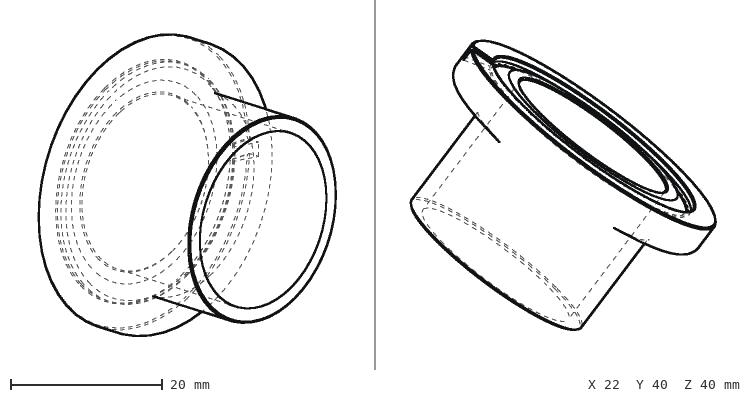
import cadquery as cq
import math

length = 22.0
flange_radius = 20.0
tube_radius = 14.0
bore_radius = 12.0
rim_width = 3.68
slope_angle = 15.0
rim_fillet = 1.5
neck_fillet = 1.0
edge_chamfer = 0.2

groove_mouth_radius = 16.4
groove_fillet = 0.4
groove_edge_break = 0.15
seat_radius = 13.8
seat_setback = 0.2
seat_angle = 25.0

slot_width = 2.0
slot_edge_break = 0.1
slot_overrun = 0.4


def sloped_depth(radius, angle):
    """X position, at a given radius, of a surface that slopes away from the seat edge."""
    return seat_setback + (radius - seat_radius) * math.tan(math.radians(angle))


def fillet_point(angle, center_x, center_radius, radius):
    """Point on a fillet arc; the angle is measured from +X in degrees."""
    turn = math.radians(angle)
    return (center_x + radius * math.cos(turn), center_radius + radius * math.sin(turn))


def make_flange():
    """Revolve the half section, with X along the axis and Y as the radius."""
    rim_center = (rim_width, flange_radius - rim_fillet)
    rim_mid = fillet_point((90 + slope_angle) / 2, *rim_center, rim_fillet)
    rim_end = fillet_point(slope_angle, *rim_center, rim_fillet)

    neck_drop = neck_fillet * (1 - math.sin(math.radians(slope_angle)))
    neck_start_radius = tube_radius + neck_drop
    back_drop = rim_end[1] - neck_start_radius
    neck_start_x = rim_end[0] + back_drop * math.tan(math.radians(slope_angle))
    neck_center = (
        neck_start_x + neck_fillet * math.cos(math.radians(slope_angle)),
        tube_radius + neck_fillet,
    )
    neck_mid = fillet_point(180 + (90 + slope_angle) / 2, *neck_center, neck_fillet)

    groove_center_radius = groove_mouth_radius - groove_fillet
    groove_end_radius = groove_center_radius - groove_fillet * math.sin(math.radians(seat_angle))
    groove_end = (sloped_depth(groove_end_radius, seat_angle), groove_end_radius)
    groove_center = (
        groove_end[0] - groove_fillet * math.cos(math.radians(seat_angle)),
        groove_center_radius,
    )
    groove_mid = fillet_point((90 - seat_angle) / 2, *groove_center, groove_fillet)

    section = (
        cq.Workplane("XY")
        .moveTo(0, groove_mouth_radius + groove_edge_break)
        .lineTo(0, flange_radius - edge_chamfer)
        .lineTo(edge_chamfer, flange_radius)
        .lineTo(rim_width, flange_radius)
        .threePointArc(rim_mid, rim_end)
        .lineTo(neck_start_x, neck_start_radius)
        .threePointArc(neck_mid, (neck_center[0], tube_radius))
        .lineTo(length - edge_chamfer, tube_radius)
        .lineTo(length, tube_radius - edge_chamfer)
        .lineTo(length, bore_radius)
        .lineTo(seat_setback + edge_chamfer, bore_radius)
        .lineTo(seat_setback, bore_radius + edge_chamfer)
        .lineTo(seat_setback, seat_radius)
        .lineTo(*groove_end)
        .threePointArc(groove_mid, (groove_center[0], groove_mouth_radius))
        .lineTo(groove_edge_break, groove_mouth_radius)
        .close()
    )
    return section.revolve(360, (0, 0, 0), (1, 0, 0))


def make_slot():
    """Slot with beveled mouth; its floor deepens from the groove outward."""
    outer_end = flange_radius + slot_overrun
    half_width = slot_width / 2
    mouth_half_width = half_width + slot_edge_break

    channel = (
        cq.Workplane("XY")
        .moveTo(0, seat_radius)
        .lineTo(seat_setback, seat_radius)
        .lineTo(sloped_depth(outer_end, slope_angle), outer_end)
        .lineTo(0, outer_end)
        .close()
        .extrude(half_width, both=True)
    )
    bevel = (
        cq.Workplane("XZ", origin=(0, outer_end, 0))
        .moveTo(0, -mouth_half_width)
        .lineTo(slot_edge_break, -half_width)
        .lineTo(slot_edge_break, half_width)
        .lineTo(0, mouth_half_width)
        .close()
        .extrude(outer_end - seat_radius)
    )
    return channel.union(bevel)


result = make_flange().cut(make_slot())